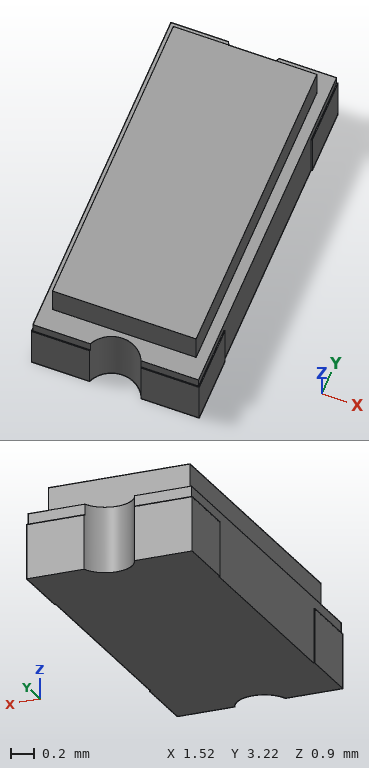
import cadquery as cq

body_width = 1.5
body_length = 3.2
body_height = 0.6
lens_width = 1.3
lens_length = 2.8
lens_height = 0.3

plating_thickness = 0.01
terminal_height = 0.5
terminal_length = 0.6
terminal_width = body_width + 2 * plating_thickness
overall_length = body_length + 2 * plating_thickness

notch_radius = 0.25
notch_depth = 0.15


def block(width, length, height, y=0, z=0):
    """Box centred on X = 0 and the given Y, with its base at the given Z."""
    return cq.Workplane("XY").box(width, length, height, centered=(True, True, False)).translate((0, y, z))


def terminal(side):
    y_centre = side * (overall_length - terminal_length) / 2
    return block(terminal_width, terminal_length, terminal_height, y=y_centre)


def end_notch(side):
    y_centre = side * (body_length / 2 - notch_depth + notch_radius)
    return cq.Workplane("XY").center(0, y_centre).circle(notch_radius).extrude(body_height)


result = block(body_width, body_length, body_height)
result = result.union(block(lens_width, lens_length, lens_height, z=body_height))
for end in (-1, 1):
    result = result.union(terminal(end)).cut(end_notch(end))